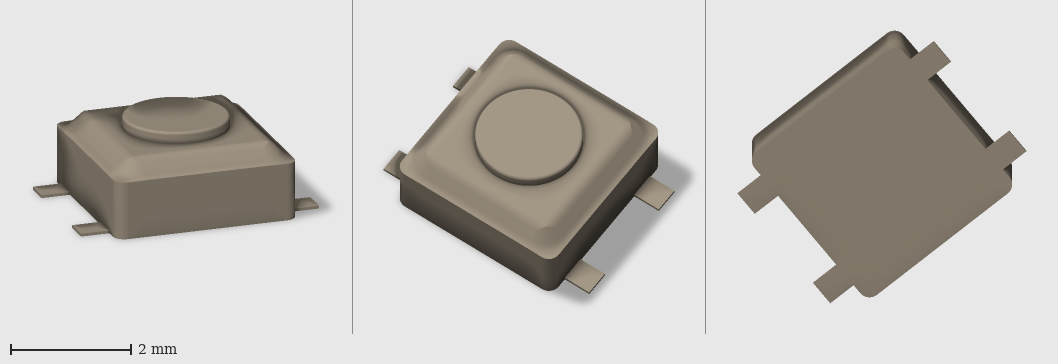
import cadquery as cq
import math

housing_width = 3.2
wall_height = 1.0
wall_corner_radius = 0.2

shoulder_top = 1.3
shoulder_height = shoulder_top - wall_height
shoulder_inset = 0.05
shoulder_taper = 45.0
run_per_rise = math.tan(math.radians(shoulder_taper))
shoulder_corner_inset = 0.5
shoulder_edge_radius = 0.25
shoulder_width = housing_width - 2 * shoulder_inset
shoulder_corner_radius = shoulder_corner_inset - shoulder_inset

button_diameter = 1.8
button_top = 1.5
button_edge_radius = 0.05

overall_length = 4.2
lead_width = 0.45
lead_thickness = 0.05
lead_pitch = 2.0
lead_length = (overall_length - housing_width) / 2


def rounded_square(width, corner_radius):
    return cq.Sketch().rect(width, width).vertices().fillet(corner_radius)


def make_flared_shoulder():
    """Round-cornered frustum whose foot flares out through a concave fillet."""
    slab_overhang = 2 * shoulder_edge_radius
    slab_width = housing_width + 2 * slab_overhang
    slab = cq.Workplane("XY").rect(slab_width, slab_width).extrude(wall_height)
    frustum = (
        cq.Workplane("XY", origin=(0, 0, wall_height))
        .placeSketch(rounded_square(shoulder_width, shoulder_corner_radius))
        .extrude(shoulder_height, taper=shoulder_taper)
    )
    margin = shoulder_edge_radius / 2
    foot_edges = cq.selectors.BoxSelector(
        (-housing_width / 2, -housing_width / 2, wall_height - margin),
        (housing_width / 2, housing_width / 2, wall_height + margin),
        boundingbox=True,
    )
    return slab.union(frustum).edges(foot_edges).fillet(shoulder_edge_radius)


def make_top_envelope():
    """Full-width block carrying a square frustum with rounded, mitred top edges."""
    block_height = wall_height + shoulder_height / 2
    root_height = block_height - shoulder_edge_radius
    root_inset = shoulder_inset + (root_height - wall_height) * run_per_rise
    root_width = housing_width - 2 * root_inset
    frustum = (
        cq.Workplane("XY", origin=(0, 0, root_height))
        .rect(root_width, root_width)
        .extrude(shoulder_top - root_height, taper=shoulder_taper)
        .faces(">Z")
        .edges()
        .fillet(shoulder_edge_radius)
    )
    block = cq.Workplane("XY").rect(housing_width, housing_width).extrude(block_height)
    return block.union(frustum)


def make_button():
    """Round button rooted in the shoulder, with a softened top rim."""
    return (
        cq.Workplane("XY", origin=(0, 0, wall_height))
        .circle(button_diameter / 2)
        .extrude(button_top - wall_height)
        .faces(">Z")
        .edges()
        .fillet(button_edge_radius)
    )


def make_housing():
    """Walls, shoulder and button as one solid."""
    walls = (
        cq.Workplane("XY")
        .placeSketch(rounded_square(housing_width, wall_corner_radius))
        .extrude(shoulder_top)
    )
    flared = make_flared_shoulder().intersect(walls)
    body = flared.intersect(make_top_envelope())
    return body.union(make_button())


def make_lead(x_side, y_side):
    """Flat strip butting against the wall at the bottom of the housing."""
    x_center = x_side * lead_pitch / 2
    y_center = y_side * (housing_width + lead_length) / 2
    return cq.Workplane("XY", origin=(x_center, y_center, 0)).box(
        lead_width, lead_length, lead_thickness, centered=(True, True, False)
    )


housing = make_housing()
leads = [make_lead(x_side, y_side) for x_side in (-1, 1) for y_side in (-1, 1)]

result = cq.Compound.makeCompound([housing.val(), *[lead.val() for lead in leads]])